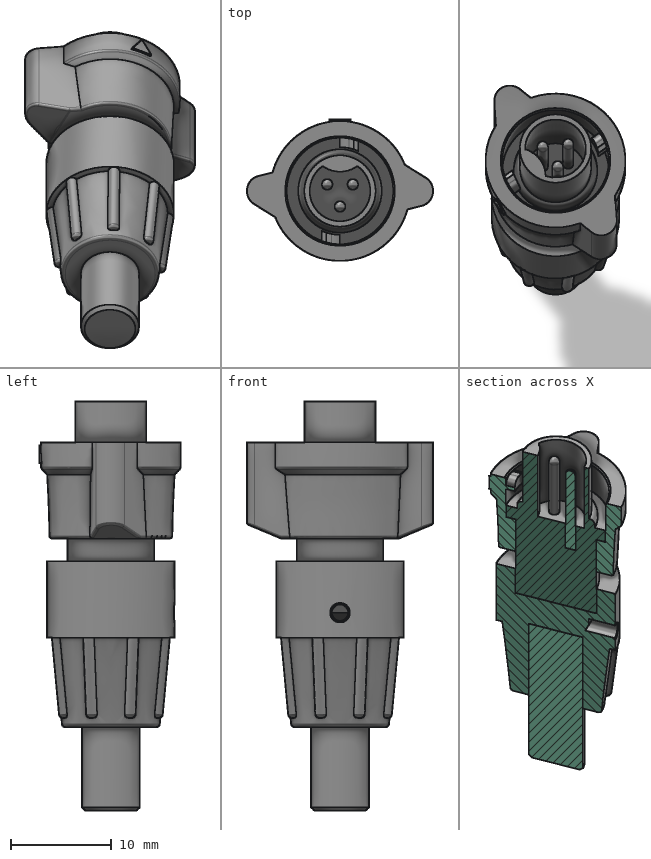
import cadquery as cq
import math

overall_length = 40.65
coupling_top_z = 36.55
lip_bottom_z = 34.0
lip_slope_end_z = 33.35
coupling_bottom_z = 27.0
collar_top_z = 24.8
collar_bottom_z = 17.2
taper_bottom_z = 8.3

cable_radius = 2.9
cable_chamfer = 0.35
cable_top_z = 17.88

collar_radius = 6.35
taper_top_radius = 5.73
taper_bottom_radius = 4.85
taper_edge_round = 0.4
rib_count = 8
rib_radius = 0.55
rib_end_z = 9.22
rib_end_round = 0.4
hole_z = 19.65
hole_mouth_diameter = 1.95
hole_mouth_depth = 0.1
hole_diameter = 1.63
hole_floor_radius = 3.5
hole_floor_slope = 24.0

neck_radius = 4.3
neck_bottom_z = 21.55
flange_radius = 5.3
flange_bottom_z = 31.3
flange_top_z = 32.9
tower_radius = 3.55
shoulder_radius = 4.15
shoulder_top_z = 33.93
socket_radius = 3.0
socket_floor_z = 32.5
key_radius = 2.93
key_tip_y = 1.9

pin_count = 3
first_pin_angle = 30.0
pin_radius = 0.53
pin_circle_radius = 1.45
pin_circle_center_y = -0.1
pin_top_z = 39.7
pin_seat_depth = 3.25

lip_radius = 6.95
lip_edge_round = 0.35
skirt_top_radius = 6.35
skirt_bottom_radius = 6.1
mouth_chamfer = 0.15
lug_inner_radius = 4.35
lug_bottom_z = 35.02
lug_top_z = 36.35
lug_nose_radius = 0.85
lug_flat_end_x = 1.35
lug_end_x = 1.8
lug_end_drop = 0.2
wing_span = 18.5
wing_reach = wing_span / 2
wing_tip_radius = 1.55
wing_shallow_angle = 14.0
wing_steep_angle = 32.0
wing_root_x = 4.45
wing_underside_inner_x = 5.85
wing_tip_bottom_z = 28.45
bottom_round = 0.3
arrow_reach_y = 7.1
arrow_half_width = 1.05
arrow_bottom_z = 34.5
arrow_top_z = 36.3


def cylinder(radius, bottom_z, top_z):
    """Solid cylinder on the plug axis."""
    return cq.Workplane("XY").workplane(offset=bottom_z).circle(radius).extrude(top_z - bottom_z)


def turned(profile):
    """Solid of revolution about the plug axis from (radius, z) points."""
    return cq.Workplane("XZ").polyline(profile).close().revolve(360, (0, 0, 0), (0, 1, 0))


def make_cable():
    """Cable stub with a chamfered free end."""
    return cylinder(cable_radius, 0, cable_top_z).faces("<Z").chamfer(cable_chamfer)


def taper_rib(angle):
    """Rod lying along the tapered surface, with a rounded lower end."""
    slope = (taper_top_radius - taper_bottom_radius) / (collar_bottom_z - taper_bottom_z)
    foot_radius = taper_bottom_radius + slope * (rib_end_z - taper_bottom_z)
    rib_plane = cq.Plane(origin=(foot_radius, 0, rib_end_z), xDir=(0, 1, 0), normal=(slope, 0, 1))
    rib_length = (collar_bottom_z - rib_end_z) * math.hypot(1, slope) + 2 * rib_radius * slope
    rib = cq.Workplane(rib_plane).circle(rib_radius).extrude(rib_length)
    rib = rib.edges("<Z").fillet(rib_end_round)
    return rib.rotate((0, 0, 0), (0, 0, 1), angle)


def locking_hole():
    """Stepped radial hole whose floor is upright in its upper half and slopes away below."""
    hole_plane = cq.Workplane("XZ", origin=(0, 0, hole_z))
    cut_length = 2 * collar_radius
    mouth = hole_plane.circle(hole_mouth_diameter / 2).extrude(cut_length)
    mouth = mouth.cut(cylinder(collar_radius - hole_mouth_depth, collar_bottom_z, collar_top_z))
    bore = hole_plane.circle(hole_diameter / 2).extrude(cut_length)
    drop = hole_diameter
    run = drop * math.tan(math.radians(hole_floor_slope))
    floor_profile = [
        (-hole_floor_radius, hole_z + drop),
        (-hole_floor_radius, hole_z),
        (run - hole_floor_radius, hole_z - drop),
        (-cut_length, hole_z - drop),
        (-cut_length, hole_z + drop),
    ]
    reach = cq.Workplane("YZ").polyline(floor_profile).close().extrude(hole_diameter, both=True)
    return mouth.union(bore.intersect(reach))


def make_back_shell():
    """Collar with a ribbed, tapered tail; bored for the contact carrier and the cable."""
    taper = turned([
        (0, taper_bottom_z),
        (taper_bottom_radius, taper_bottom_z),
        (taper_top_radius, collar_bottom_z),
        (0, collar_bottom_z),
    ])
    taper = taper.faces("<Z").edges().fillet(taper_edge_round)
    shell = cylinder(collar_radius, collar_bottom_z, collar_top_z).union(taper)
    for index in range(rib_count):
        shell = shell.union(taper_rib((index + 0.5) * 360 / rib_count))
    shell = shell.cut(cylinder(neck_radius, neck_bottom_z, collar_top_z))
    shell = shell.cut(cylinder(cable_radius, taper_bottom_z, cable_top_z))
    return shell.cut(locking_hole())


def make_carrier():
    """Neck, flange, rounded shoulder, and the keyed tower around the pins."""
    neck = turned([
        (0, neck_bottom_z),
        (neck_radius, neck_bottom_z),
        (neck_radius, flange_bottom_z),
        (flange_radius, flange_bottom_z),
        (flange_radius, flange_top_z),
        (0, flange_top_z),
    ])
    shoulder = cylinder(shoulder_radius, flange_top_z, shoulder_top_z)
    shoulder = shoulder.faces(">Z").edges().fillet(shoulder_radius - tower_radius)
    tower = cylinder(tower_radius, flange_top_z, overall_length)
    carrier = neck.union(shoulder).union(tower)
    key = cylinder(key_radius, socket_floor_z, overall_length).translate((0, key_tip_y + key_radius, 0))
    socket = cylinder(socket_radius, socket_floor_z, overall_length).cut(key)
    return carrier.cut(socket)


def make_pin(angle):
    """Round contact pin with a domed tip."""
    pin = cylinder(pin_radius, socket_floor_z - pin_seat_depth, pin_top_z - pin_radius)
    tip = cq.Workplane("XY").sphere(pin_radius).translate((0, 0, pin_top_z - pin_radius))
    pin = pin.union(tip).translate((pin_circle_radius, 0, 0))
    pin = pin.rotate((0, 0, 0), (0, 0, 1), angle)
    return pin.translate((0, pin_circle_center_y, 0))


def wing():
    """Wing on the -X side: round tip with two straight flanks of different steepness."""
    tip_center_x = wing_tip_radius - wing_reach
    shallow = math.radians(wing_shallow_angle)
    steep = math.radians(wing_steep_angle)
    upper = (tip_center_x - wing_tip_radius * math.sin(shallow), wing_tip_radius * math.cos(shallow))
    lower = (tip_center_x - wing_tip_radius * math.sin(steep), -wing_tip_radius * math.cos(steep))
    upper_end = (-wing_root_x, upper[1] - (upper[0] + wing_root_x) * math.tan(shallow))
    lower_end = (-wing_root_x, lower[1] + (lower[0] + wing_root_x) * math.tan(steep))
    plan = (
        cq.Workplane("XY").workplane(offset=coupling_bottom_z)
        .moveTo(*upper_end)
        .lineTo(*upper)
        .threePointArc((-wing_reach, 0), lower)
        .lineTo(*lower_end)
        .close()
        .extrude(coupling_top_z - coupling_bottom_z)
    )
    underside = (
        cq.Workplane("XZ")
        .moveTo(-wing_reach, wing_tip_bottom_z)
        .lineTo(-wing_underside_inner_x, coupling_bottom_z)
        .lineTo(-wing_reach, coupling_bottom_z)
        .close()
        .extrude(wing_reach, both=True)
    )
    sloped = plan.cut(underside)
    return sloped.edges("not(|Z or >X or >Z)").fillet(bottom_round)


def arrow():
    """Raised triangular index mark on the +Y side of the lip, pointing up."""
    return (
        cq.Workplane("XZ")
        .polyline([
            (-arrow_half_width, arrow_bottom_z),
            (arrow_half_width, arrow_bottom_z),
            (0, arrow_top_z),
        ])
        .close()
        .extrude(-arrow_reach_y)
    )


def lug():
    """Bayonet lug on the cavity wall: rounded nose at x = 0, flat top, gently sloping far end."""
    nose_start_z = lug_top_z - lug_nose_radius
    diagonal = lug_nose_radius * math.sqrt(0.5)
    profile = (
        cq.Workplane("XZ")
        .moveTo(0, lug_bottom_z)
        .lineTo(0, nose_start_z)
        .threePointArc((lug_nose_radius - diagonal, nose_start_z + diagonal), (lug_nose_radius, lug_top_z))
        .lineTo(lug_flat_end_x, lug_top_z)
        .lineTo(lug_end_x, lug_top_z - lug_end_drop)
        .lineTo(lug_end_x, lug_bottom_z)
        .close()
        .extrude(-flange_radius)
    )
    ring = cylinder(flange_radius, lug_bottom_z, lug_top_z)
    return profile.intersect(ring.cut(cylinder(lug_inner_radius, lug_bottom_z, lug_top_z)))


def make_coupling():
    """Bayonet coupling ring with two grip wings, turning on the carrier neck."""
    ring = turned([
        (0, coupling_bottom_z),
        (skirt_bottom_radius, coupling_bottom_z),
        (skirt_top_radius, lip_slope_end_z),
        (lip_radius, lip_bottom_z),
        (lip_radius, coupling_top_z),
        (0, coupling_top_z),
    ])
    ring = ring.faces("<Z").edges().fillet(bottom_round)
    lip_corner = (0, 0, lip_bottom_z)
    ring = ring.edges(cq.selectors.NearestToPointSelector(lip_corner)).fillet(lip_edge_round)
    for angle in (0, 180):
        ring = ring.union(wing().rotate((0, 0, 0), (0, 0, 1), angle))
    ring = ring.union(arrow())
    ring = ring.cut(cylinder(neck_radius, coupling_bottom_z, coupling_top_z))
    cavity = turned([
        (0, flange_bottom_z),
        (flange_radius, flange_bottom_z),
        (flange_radius, coupling_top_z - mouth_chamfer),
        (flange_radius + mouth_chamfer, coupling_top_z),
        (0, coupling_top_z),
    ])
    ring = ring.cut(cavity)
    for angle in (0, 180):
        ring = ring.union(lug().rotate((0, 0, 0), (0, 0, 1), angle))
    return ring


cable = make_cable()
back_shell = make_back_shell()
carrier = make_carrier()
pins = []
for pin_index in range(pin_count):
    pin = make_pin(first_pin_angle + pin_index * 360 / pin_count)
    carrier = carrier.cut(pin)
    pins.append(pin)
coupling = make_coupling()

result = cq.Compound.makeCompound(
    [cable.val(), back_shell.val(), carrier.val(), coupling.val(), *[pin.val() for pin in pins]]
)